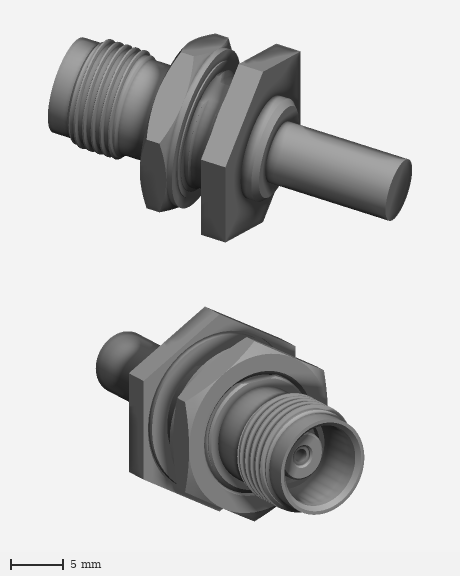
import cadquery as cq
import math

LENGTH = 34.88

BARREL_RADIUS = 4.8
COUPLING_START = 2.02
COUPLING_END = 7.4
COUPLING_ROOT_RADIUS = 5.05
COUPLING_CREST_RADIUS = 5.45
COUPLING_CREST_X = 2.85

PANEL_START = 10.9
PANEL_END = 15.45
PANEL_RELIEF_RADIUS = 5.6
PANEL_ROOT_RADIUS = 5.82
PANEL_CREST_RADIUS = 6.25
PANEL_CREST_X = 11.65
FLAT_HEIGHT = 5.48

PITCH = 0.9
RIDGE_BASE = 0.52
RIDGE_TIP = 0.17
RIDGE_EMBED = 0.1
RIDGE_RUNOUT = 0.5
THREAD_OVERRUN = 3 * PITCH

COLLAR_START = 16.88
COLLAR_RADIUS = 6.25

NUT_START = 11.15
NUT_HEX_END = 13.95
NUT_END = 14.55
NUT_FLATS = 16.0
NUT_BORE_RADIUS = 5.75
NUT_BORE_CHAMFER = 0.52
NUT_CORNER_ANGLE = 30.0
NUT_LIP_RADIUS = 6.87
NUT_LIP = 0.15

SEAT_START = 17.65
HEX_START = 17.95
HEX_END = 20.55
HEX_FLATS = 17.5
SEAT_RADIUS = NUT_FLATS / 2
SEAT_RECESS_RADIUS = 8.25
SEAT_RECESS_DEPTH = 0.28

BOSS_END = 22.22
BOSS_RADIUS = 5.2
BOSS_CHAMFER = 0.55
TUBE_RADIUS = 3.1

MOUTH_RADIUS = 4.45
MOUTH_DEPTH = 0.42
BORE_RADIUS = 4.05
BORE_FLOOR_RADIUS = 3.9
BORE_DEPTH = 5.58
RECESS_RADIUS = 3.35
RECESS_DEPTH = 6.28

INSULATOR_START = 3.45
INSULATOR_RADIUS = 2.4
INSULATOR_CHAMFER = 0.2
SOCKET_MOUTH_RADIUS = 1.15
SOCKET_RADIUS = 0.98
SOCKET_STEP = 0.17
CONTACT_HOLE_RADIUS = 0.65
CONTACT_HOLE_DEPTH = 2.1
CONTACT_POINT_LENGTH = 0.4


def cylinder(start, end, radius):
    return cq.Workplane("YZ", origin=(start, 0, 0)).circle(radius).extrude(end - start)


def revolved(points):
    """Turn an outline of (x, radius) points about the X axis."""
    return cq.Workplane("XY").polyline(points).close().revolve(360, (0, 0, 0), (1, 0, 0))


def across_corners(flats):
    """Corner-to-corner size of a hexagon from its size across flats."""
    return flats / math.cos(math.radians(30))


def hexagon(start, end, flats):
    """Hexagonal prism along X with two corners on the Z axis."""
    prism = cq.Workplane("YZ", origin=(start, 0, 0)).polygon(6, across_corners(flats)).extrude(end - start)
    return prism.rotate((0, 0, 0), (1, 0, 0), 90)


def end_trim(x, overrun, end_radius):
    """Waste beyond a thread end at x, bounded by a 45 degree cone; overrun points away from the thread."""
    rise = abs(overrun)
    return revolved([
        (x, 0),
        (x, end_radius),
        (x - overrun, end_radius + rise),
        (x + overrun, end_radius + rise),
        (x + overrun, 0),
    ])


def thread(start, end, end_radius, root_radius, crest_radius, crest_x):
    """Right-handed external thread, chamfered at 45 degrees down to end_radius at both ends."""
    foot_radius = root_radius - RIDGE_EMBED
    foot_half = RIDGE_BASE / 2
    tip_half = RIDGE_TIP / 2
    helix_start = crest_x - PITCH * math.ceil((crest_x - start) / PITCH + RIDGE_RUNOUT)
    turns = math.ceil((end - helix_start) / PITCH + RIDGE_RUNOUT)

    helix = cq.Wire.makeHelix(PITCH, turns * PITCH, foot_radius)
    ridge = (
        cq.Workplane("XZ")
        .polyline([
            (foot_radius, -foot_half),
            (crest_radius, -tip_half),
            (crest_radius, tip_half),
            (foot_radius, foot_half),
        ])
        .close()
        .sweep(cq.Workplane(helix), isFrenet=True)
        .rotate((0, 0, 0), (0, 1, 0), 90)
        .rotate((0, 0, 0), (1, 0, 0), 180)
        .translate((helix_start, 0, 0))
    )
    threaded_rod = cylinder(start - THREAD_OVERRUN, end + THREAD_OVERRUN, root_radius).union(ridge)
    return (
        threaded_rod
        .cut(end_trim(start, -THREAD_OVERRUN, end_radius))
        .cut(end_trim(end, THREAD_OVERRUN, end_radius))
    )


def threaded_body():
    """Panel thread, plain neck and collar, all cut by the flat."""
    body = (
        thread(PANEL_START, PANEL_END, PANEL_RELIEF_RADIUS,
               PANEL_ROOT_RADIUS, PANEL_CREST_RADIUS, PANEL_CREST_X)
        .union(cylinder(PANEL_END, COLLAR_START, PANEL_RELIEF_RADIUS))
        .union(cylinder(COLLAR_START, SEAT_START, COLLAR_RADIUS))
    )
    size = 2 * COLLAR_RADIUS
    above_flat = (
        cq.Workplane("XY", origin=((PANEL_START + SEAT_START) / 2, 0, FLAT_HEIGHT))
        .box(size, size, size, centered=(True, True, False))
    )
    return body.cut(above_flat)


def nut():
    flat_radius = NUT_FLATS / 2
    corner_radius = across_corners(NUT_FLATS) / 2
    corner_drop = (corner_radius - flat_radius) * math.tan(math.radians(NUT_CORNER_ANGLE))
    corner_cone = revolved([
        (NUT_START, 0),
        (NUT_START, flat_radius),
        (NUT_START + corner_drop, corner_radius),
        (NUT_HEX_END - corner_drop, corner_radius),
        (NUT_HEX_END, flat_radius),
        (NUT_HEX_END, 0),
    ])
    lip_end = NUT_END + NUT_LIP
    bore = revolved([
        (NUT_START, 0),
        (NUT_START, NUT_BORE_RADIUS + NUT_BORE_CHAMFER),
        (NUT_START + NUT_BORE_CHAMFER, NUT_BORE_RADIUS),
        (lip_end, NUT_BORE_RADIUS),
        (lip_end, 0),
    ])
    return (
        hexagon(NUT_START, NUT_HEX_END, NUT_FLATS)
        .intersect(corner_cone)
        .union(cylinder(NUT_HEX_END, NUT_END, flat_radius))
        .union(cylinder(NUT_END, lip_end, NUT_LIP_RADIUS))
        .cut(bore)
    )


def mating_bore():
    return revolved([
        (0, 0),
        (0, MOUTH_RADIUS),
        (MOUTH_DEPTH, BORE_RADIUS),
        (BORE_DEPTH, BORE_FLOOR_RADIUS),
        (BORE_DEPTH, RECESS_RADIUS),
        (RECESS_DEPTH, RECESS_RADIUS),
        (RECESS_DEPTH, 0),
    ])


def insulator():
    """Insulator with the drilled contact socket in its face."""
    socket_start = INSULATOR_START + SOCKET_STEP
    contact_face = socket_start + SOCKET_STEP
    hole_end = INSULATOR_START + CONTACT_HOLE_DEPTH
    return revolved([
        (RECESS_DEPTH, 0),
        (RECESS_DEPTH, INSULATOR_RADIUS),
        (INSULATOR_START + INSULATOR_CHAMFER, INSULATOR_RADIUS),
        (INSULATOR_START, INSULATOR_RADIUS - INSULATOR_CHAMFER),
        (INSULATOR_START, SOCKET_MOUTH_RADIUS),
        (socket_start, SOCKET_RADIUS),
        (contact_face, SOCKET_RADIUS),
        (contact_face, CONTACT_HOLE_RADIUS),
        (hole_end, CONTACT_HOLE_RADIUS),
        (hole_end + CONTACT_POINT_LENGTH, 0),
    ])


def rear():
    """Seat, fixed hexagon, boss and cable tube."""
    boss = cylinder(HEX_END, BOSS_END, BOSS_RADIUS).faces(">X").chamfer(BOSS_CHAMFER)
    recess_floor = HEX_START + SEAT_RECESS_DEPTH
    return (
        hexagon(HEX_START, HEX_END, HEX_FLATS)
        .cut(cylinder(HEX_START, recess_floor, SEAT_RECESS_RADIUS))
        .union(cylinder(SEAT_START, recess_floor, SEAT_RADIUS))
        .union(boss)
        .union(cylinder(BOSS_END, LENGTH, TUBE_RADIUS))
    )


coupling_thread = thread(COUPLING_START, COUPLING_END, BARREL_RADIUS,
                         COUPLING_ROOT_RADIUS, COUPLING_CREST_RADIUS, COUPLING_CREST_X)
result = (
    cylinder(0, PANEL_START, BARREL_RADIUS)
    .union(coupling_thread)
    .cut(mating_bore())
    .union(threaded_body())
    .union(nut())
    .union(rear())
    .union(insulator())
)